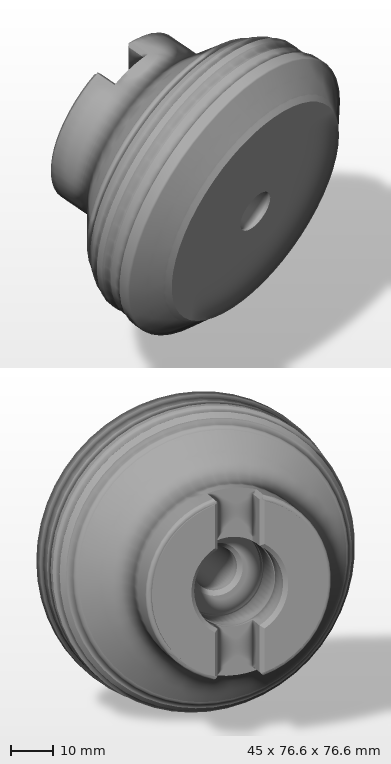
import cadquery as cq
import math

length = 45.0
rim_radius = 38.3

hub_radius = 23.0
hub_fillet = 0.9
lip_length = 0.45
lip_radius = 21.8
edge_chamfer = 1.0

waist_start = 10.1
waist_end = 13.8
flare_start_radius = 24.75

flare_end = 21.15
flare_end_radius = 33.25
first_tread = 22.6
first_tread_radius = 34.2
first_step = 24.0
first_step_radius = 35.5

crest = 25.5
crest_radius = 36.5
second_tread = 26.0
second_tread_radius = 36.4
second_step = 27.9

band_radius = 37.5
groove_center = 30.9
groove_half_width = 1.4
groove_depth = 0.45

rim_start = 35.1
rim_bevel_length = 0.3
rim_bevel_height = 0.5
rim_front_rounding = 0.4
rim_end = 38.5
rim_back_rounding = 0.45
rim_back_drop = 0.2
back_cone_end = 43.75
back_cone_radius = 31.5
back_face_radius = 30.25

slot_width = 10.35
slot_depth = 6.3

entry_radius = 11.0
entry_depth = 7.0
seat_radius = 10.8
relief_start = 15.5
relief_end = 16.4
bore_depth = 18.0
hole_diameter = 10.8
hole_radius = hole_diameter / 2
hole_chamfer = 1.1


def valley_arc_middle(flat, end):
    """Midpoint of the concave arc between the low point `flat`, where it is level, and `end`."""
    dx = end[0] - flat[0]
    dr = end[1] - flat[1]
    radius = (dx**2 + dr**2) / (2 * dr)
    half_angle = math.atan2(dr, abs(dx))
    x = flat[0] + math.copysign(radius * math.sin(half_angle), dx)
    return x, flat[1] + radius * (1 - math.cos(half_angle))


def crest_arc_middle(end, flat):
    """Midpoint of the convex arc between `end` and the higher point `flat`, where it is level."""
    x, radius = valley_arc_middle((flat[0], -flat[1]), (end[0], -end[1]))
    return x, -radius


def turn(profile):
    """Revolve a closed (x, radius) outline about the X axis."""
    return profile.close().revolve(360, (0, 0, 0), (1, 0, 0))


def make_body():
    fillet_foot = (lip_length, hub_radius - hub_fillet)
    fillet_top = (lip_length + hub_fillet, hub_radius)
    waist_foot = (waist_start, hub_radius)
    waist_top = (waist_end, flare_start_radius)
    flare_top = (flare_end, flare_end_radius)
    tread_1 = (first_tread, first_tread_radius)
    step_1 = (first_step, first_step_radius)
    tread_2 = (second_tread, second_tread_radius)
    step_2 = (second_step, band_radius)
    groove_left = (groove_center - groove_half_width, band_radius)
    groove_floor = (groove_center, band_radius - groove_depth)
    groove_right = (groove_center + groove_half_width, band_radius)
    bevel_top = (rim_start + rim_bevel_length, band_radius + rim_bevel_height)
    rim_front = (bevel_top[0] + rim_front_rounding, rim_radius)
    rim_back = (rim_end - rim_back_rounding, rim_radius)
    back_cone_top = (rim_end, rim_radius - rim_back_drop)
    profile = (
        cq.Workplane("XY")
        .moveTo(0, 0)
        .lineTo(0, lip_radius)
        .lineTo(lip_length, lip_radius)
        .lineTo(*fillet_foot)
        .threePointArc(crest_arc_middle(fillet_foot, fillet_top), fillet_top)
        .lineTo(*waist_foot)
        .threePointArc(valley_arc_middle(waist_foot, waist_top), waist_top)
        .lineTo(*flare_top)
        .threePointArc(crest_arc_middle(flare_top, tread_1), tread_1)
        .threePointArc(valley_arc_middle(tread_1, step_1), step_1)
        .lineTo(crest, crest_radius)
        .lineTo(*tread_2)
        .threePointArc(valley_arc_middle(tread_2, step_2), step_2)
        .lineTo(*groove_left)
        .threePointArc(valley_arc_middle(groove_floor, groove_left), groove_floor)
        .threePointArc(valley_arc_middle(groove_floor, groove_right), groove_right)
        .lineTo(rim_start, band_radius)
        .lineTo(*bevel_top)
        .threePointArc(crest_arc_middle(bevel_top, rim_front), rim_front)
        .lineTo(*rim_back)
        .threePointArc(crest_arc_middle(back_cone_top, rim_back), back_cone_top)
        .lineTo(back_cone_end, back_cone_radius)
        .lineTo(length, back_face_radius)
        .lineTo(length, 0)
    )
    return turn(profile)


def make_bore():
    profile = (
        cq.Workplane("XY")
        .moveTo(0, 0)
        .lineTo(0, entry_radius + edge_chamfer)
        .lineTo(edge_chamfer, entry_radius)
        .lineTo(entry_depth, entry_radius)
        .lineTo(entry_depth, seat_radius)
        .lineTo(relief_start, seat_radius)
        .lineTo(relief_start, entry_radius)
        .lineTo(relief_end, entry_radius)
        .lineTo(relief_end, seat_radius)
        .lineTo(bore_depth, seat_radius)
        .lineTo(bore_depth, hole_radius + hole_chamfer)
        .lineTo(bore_depth + hole_chamfer, hole_radius)
        .lineTo(length, hole_radius)
        .lineTo(length, 0)
    )
    return turn(profile)


def make_slot():
    half = slot_width / 2
    return (
        cq.Workplane("XY")
        .moveTo(0, half + edge_chamfer)
        .lineTo(edge_chamfer, half)
        .lineTo(slot_depth, half)
        .lineTo(slot_depth, -half)
        .lineTo(edge_chamfer, -half)
        .lineTo(0, -half - edge_chamfer)
        .close()
        .extrude(rim_radius, both=True)
    )


def make_slot_mouth():
    """Flared ends of the slot: its walls are chamfered where they meet the outside of the hub."""
    half = slot_width / 2
    mouth_half = half + edge_chamfer
    mouth_height = math.sqrt(hub_radius**2 - mouth_half**2)
    flare_height = mouth_height - edge_chamfer
    outline = [
        (-half, flare_height),
        (half, flare_height),
        (mouth_half, mouth_height),
        (mouth_half, hub_radius),
        (-mouth_half, hub_radius),
        (-mouth_half, mouth_height),
    ]
    mouth = cq.Workplane("YZ").polyline(outline).close().extrude(slot_depth)
    return mouth.union(mouth.mirror("XY"))


result = make_body().cut(make_bore()).cut(make_slot()).cut(make_slot_mouth())